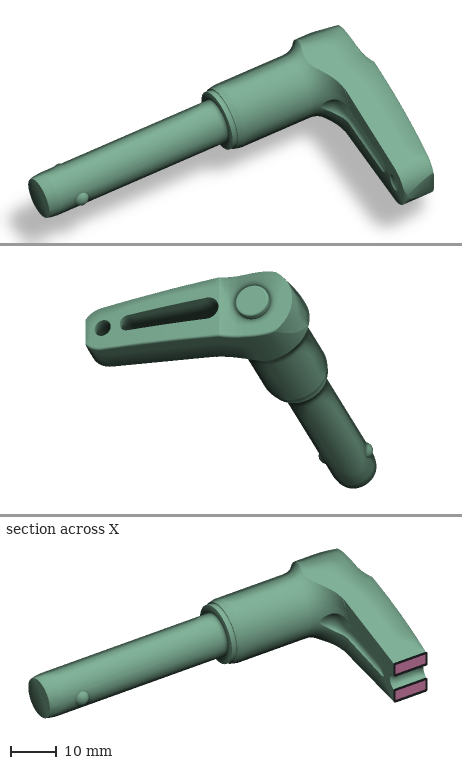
import cadquery as cq
import math


PIN_RADIUS = 5.0
PIN_LENGTH = 44.75
NOSE_LENGTH = 2.4
NOSE_RADIUS = 4.6
BALL_RADIUS = 1.8
BALL_PROTRUSION = 1.1
BALL_FROM_SHOULDER = 36.8

SHOULDER_RADIUS = 6.8
SHOULDER_TOP = 1.2
SLEEVE_RADIUS = 7.4
SLEEVE_TAPER_RADIUS = 7.1
SLEEVE_TAPER_TOP = 2.65
SLEEVE_TOP = 19.82
FLARE_RADIUS = 5.75

BUTTON_RADIUS = 3.75
BUTTON_TOP = 35.65
BUTTON_EDGE = 0.4

HEAD_HALF_WIDTH = 7.91
CROWN_X = -0.8
CROWN_RADIUS = 18.0
CROWN_START_X = -3.0
CROWN_END_X = 0.6
TIP_X = 34.64

HEAD_TOP = 33.9
RAMP_START_X = 2.5
HUMP = (7.6, 35.1)
BACK_MIDDLE = (23.2, 34.1)
BACK_END = (38.7, 32.1)
UNDERSIDE_START = (12.6, 25.6)
TIP_CORNER = (40.0, 24.15)
TIP_ROUND = 0.9
TOP_EDGE_ROUND = 0.45

CONE_TOP_RADIUS = 8.7
CONE_LOW_RADIUS = 9.9
CONE_LOW = 24.7

SLOT_START_X = 10.3
SLOT_START_RADIUS = 2.6
SLOT_END_X = 28.75
SLOT_END_RADIUS = 1.85
HOLE_RADIUS = 1.9

MARGIN = 10.0


def point_on_line(start, end, x):
    """Point at the given x on the line through two points."""
    slope = (end[1] - start[1]) / (end[0] - start[0])
    return (x, start[1] + slope * (x - start[0]))


def revolve_about_pin(profile):
    """Turn an XY half profile about the Y axis."""
    return profile.close().revolve(360, (0, 0, 0), (0, 1, 0))


def extrude_along_y(sketch_on_xz):
    """Extrude an XZ sketch from Y = 0 to above the whole part."""
    return sketch_on_xz.extrude(-(BUTTON_TOP + MARGIN))


def make_pin():
    reduction = PIN_RADIUS - NOSE_RADIUS
    nose_arc_radius = (NOSE_LENGTH**2 + reduction**2) / (2 * reduction)
    half_length = NOSE_LENGTH / 2
    nose_middle_radius = PIN_RADIUS - nose_arc_radius + math.sqrt(nose_arc_radius**2 - half_length**2)
    profile = (
        cq.Workplane("XY")
        .moveTo(0, SHOULDER_TOP)
        .lineTo(PIN_RADIUS, SHOULDER_TOP)
        .lineTo(PIN_RADIUS, NOSE_LENGTH - PIN_LENGTH)
        .threePointArc((nose_middle_radius, half_length - PIN_LENGTH), (NOSE_RADIUS, -PIN_LENGTH))
        .lineTo(0, -PIN_LENGTH)
    )
    pin = revolve_about_pin(profile)
    ball_offset = PIN_RADIUS + BALL_PROTRUSION - BALL_RADIUS
    for side in (-1, 1):
        ball = cq.Workplane("XY").sphere(BALL_RADIUS)
        pin = pin.union(ball.translate((side * ball_offset, -BALL_FROM_SHOULDER, 0)))
    return pin


def make_sleeve():
    profile = (
        cq.Workplane("XY")
        .moveTo(0, 0)
        .lineTo(SHOULDER_RADIUS, 0)
        .lineTo(SHOULDER_RADIUS, SHOULDER_TOP)
        .lineTo(SLEEVE_TAPER_RADIUS, SHOULDER_TOP)
        .lineTo(SLEEVE_RADIUS, SLEEVE_TAPER_TOP)
        .lineTo(SLEEVE_RADIUS, SLEEVE_TOP)
        .lineTo(0, SLEEVE_TOP)
    )
    return revolve_about_pin(profile)


def make_button():
    base = SLEEVE_TOP
    button = cq.Workplane("XZ", origin=(0, base, 0)).circle(BUTTON_RADIUS).extrude(base - BUTTON_TOP)
    return button.faces(">Y").edges().fillet(BUTTON_EDGE)


def make_outline():
    """Handle outline in XZ, every stretch tangent to the next, extruded along Y."""
    crown_center_z = HEAD_HALF_WIDTH - CROWN_RADIUS
    start_angle = math.asin((CROWN_X - CROWN_START_X) / CROWN_RADIUS)
    end_angle = math.asin((CROWN_END_X - CROWN_X) / CROWN_RADIUS)
    start_z = crown_center_z + CROWN_RADIUS * math.cos(start_angle)
    end_z = crown_center_z + CROWN_RADIUS * math.cos(end_angle)

    head_radius = start_z / math.cos(start_angle)
    head_left = CROWN_START_X + head_radius * math.sin(start_angle) - head_radius

    tip_radius = (
        (CROWN_X - TIP_X) * math.sin(end_angle) + crown_center_z * math.cos(end_angle) + CROWN_RADIUS
    )
    tip_start_x = TIP_X + tip_radius * math.sin(end_angle)
    tip_start_z = tip_radius * math.cos(end_angle)

    outline = (
        cq.Workplane("XZ")
        .moveTo(CROWN_START_X, -start_z)
        .threePointArc((head_left, 0), (CROWN_START_X, start_z))
        .threePointArc((CROWN_X, HEAD_HALF_WIDTH), (CROWN_END_X, end_z))
        .lineTo(tip_start_x, tip_start_z)
        .threePointArc((TIP_X + tip_radius, 0), (tip_start_x, -tip_start_z))
        .lineTo(CROWN_END_X, -end_z)
        .threePointArc((CROWN_X, -HEAD_HALF_WIDTH), (CROWN_START_X, -start_z))
        .close()
    )
    return extrude_along_y(outline)


def make_grip(outline):
    """Handle body: the outline under its top curve, above its underside and inside its end face."""
    left = -CONE_LOW_RADIUS - MARGIN
    right = BACK_END[0] + MARGIN
    half_depth = HEAD_HALF_WIDTH + MARGIN
    below_top = (
        cq.Workplane("XY")
        .moveTo(left, 0)
        .lineTo(left, HEAD_TOP)
        .lineTo(RAMP_START_X, HEAD_TOP)
        .tangentArcPoint(HUMP, relative=False)
        .threePointArc(BACK_MIDDLE, BACK_END)
        .lineTo(*point_on_line(BACK_MIDDLE, BACK_END, right))
        .lineTo(right, 0)
        .close()
        .extrude(half_depth, both=True)
    )
    grip = outline.intersect(below_top)
    grip = grip.edges("not(|Y or |Z or <Y)").fillet(TOP_EDGE_ROUND)

    end_face_lean = (BACK_END[0] - TIP_CORNER[0]) / (BACK_END[1] - TIP_CORNER[1])
    above_underside = (
        cq.Workplane("XY")
        .polyline(
            [
                point_on_line(UNDERSIDE_START, TIP_CORNER, left),
                TIP_CORNER,
                (BACK_END[0] + end_face_lean * MARGIN, BACK_END[1] + MARGIN),
                (left, BACK_END[1] + MARGIN),
            ]
        )
        .close()
        .extrude(half_depth, both=True)
        .edges("|Z and >X")
        .fillet(TIP_ROUND)
    )
    return grip.intersect(above_underside)


def make_flare(outline):
    """Concave flare that carries the sleeve into the handle; its flat top lies inside the grip."""
    rim = SLEEVE_RADIUS + FLARE_RADIUS
    rim_y = SLEEVE_TOP + FLARE_RADIUS
    diagonal = FLARE_RADIUS * math.sqrt(0.5)
    flare_top = (rim_y + HEAD_TOP) / 2
    profile = (
        cq.Workplane("XY")
        .moveTo(0, SLEEVE_TOP)
        .lineTo(SLEEVE_RADIUS, SLEEVE_TOP)
        .threePointArc((rim - diagonal, SLEEVE_TOP + diagonal), (rim, rim_y))
        .lineTo(rim, flare_top)
        .lineTo(0, flare_top)
    )
    return revolve_about_pin(profile).intersect(outline)


def make_head_trim():
    """Cone around the head, open towards the handle."""
    low = (CONE_LOW_RADIUS, CONE_LOW)
    top = (CONE_TOP_RADIUS, HEAD_TOP)
    slope = (top[0] - low[0]) / (top[1] - low[1])
    base_radius = low[0] - slope * CONE_LOW
    height = HEAD_TOP + MARGIN
    cone = revolve_about_pin(
        cq.Workplane("XY")
        .moveTo(0, 0)
        .lineTo(base_radius, 0)
        .lineTo(base_radius + slope * height, height)
        .lineTo(0, height)
    )
    length = TIP_CORNER[0] + MARGIN
    depth = 2 * (HEAD_HALF_WIDTH + MARGIN)
    handle_side = cq.Workplane("XY").box(length, height, depth, centered=(False, False, True))
    return cone.union(handle_side)


def make_openings():
    """Tapered slot with round ends, and the hole near the tip."""
    taper = (SLOT_START_RADIUS - SLOT_END_RADIUS) / (SLOT_END_X - SLOT_START_X)
    side = math.sqrt(1 - taper**2)
    start_x = SLOT_START_X + SLOT_START_RADIUS * taper
    end_x = SLOT_END_X + SLOT_END_RADIUS * taper
    slot = (
        cq.Workplane("XZ")
        .moveTo(start_x, SLOT_START_RADIUS * side)
        .lineTo(end_x, SLOT_END_RADIUS * side)
        .threePointArc((SLOT_END_X + SLOT_END_RADIUS, 0), (end_x, -SLOT_END_RADIUS * side))
        .lineTo(start_x, -SLOT_START_RADIUS * side)
        .threePointArc((SLOT_START_X - SLOT_START_RADIUS, 0), (start_x, SLOT_START_RADIUS * side))
        .close()
    )
    hole = cq.Workplane("XZ").center(TIP_X, 0).circle(HOLE_RADIUS)
    return extrude_along_y(slot).union(extrude_along_y(hole))


def make_handle():
    outline = make_outline()
    handle = make_grip(outline).union(make_flare(outline))
    return handle.intersect(make_head_trim()).cut(make_openings())


result = make_handle().union(make_sleeve()).union(make_pin()).union(make_button())